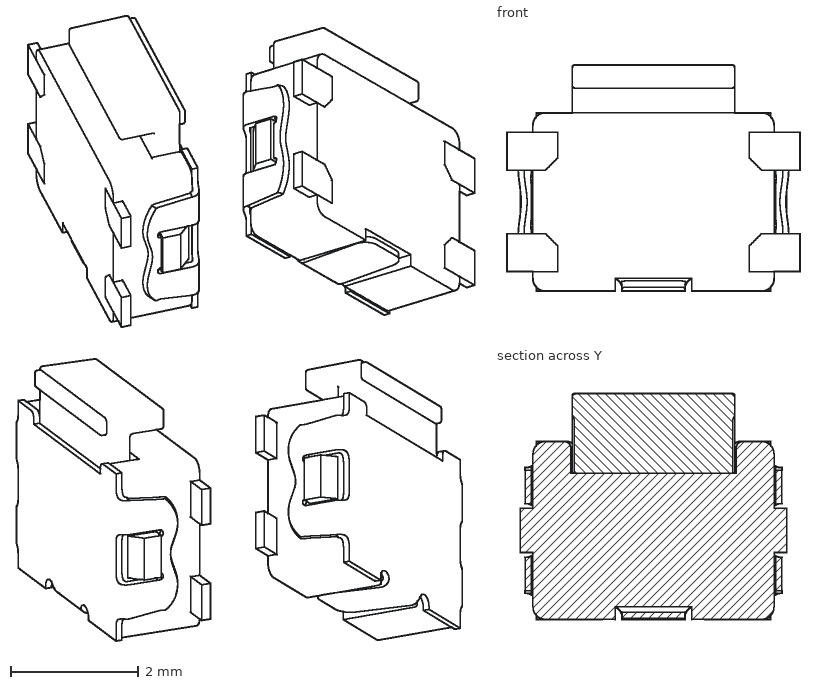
import cadquery as cq
import math


TOTAL_LENGTH = 4.6
TOTAL_DEPTH = 1.42
TOTAL_HEIGHT = 3.55
SHEET = 0.1
EDGE_ROUND = 0.05

HOUSING_HALF_WIDTH = 1.895
HOUSING_HEIGHT = 2.795
HOUSING_DEPTH = TOTAL_DEPTH - SHEET
HOUSING_CORNER_RADIUS = 0.2
MID_HEIGHT = HOUSING_HEIGHT / 2
NOTCH_HALF_WIDTH = 0.6
NOTCH_HEIGHT = 0.2

SLOT_HALF_WIDTH = 1.295
SLOT_FRONT = 0.815
SLOT_FLOOR = 2.3
SLOT_MOUTH_RADIUS = 0.1

LATCH_HALF_HEIGHT = 0.35
LATCH_TIP = 2.095
LATCH_BOTTOM = 0.755
LATCH_FLAT_TOP = 1.05
LATCH_SLOPE_TOP = LATCH_FLAT_TOP + (LATCH_TIP - HOUSING_HALF_WIDTH)

BUTTON_HALF_WIDTH = 1.28
STEM_FRONT = 0.905
CAP_FRONT = 0.32
CAP_UNDERSIDE = 3.185
CAP_TOP_DROP = 0.02
RIB_HALF_WIDTH = 1.25
RIB_BOTTOM = 3.22
RIB_TOP = 3.505

PLATE_HALF_WIDTH = 1.84
TOP_CUT_DEPTH = 0.2
BEND_OUTER = 0.15
BEND_INNER = BEND_OUTER - SHEET
ROOT_RADIUS = 0.15
ARM_OUTER = 2.02
ARM_ROOT_HALF_HEIGHT = 0.99
ARM_END_HALF_HEIGHT = 0.93
WINDOW_HALF_HEIGHT = 0.42
RELIEF_RADIUS = 0.06
BEND_CENTER_Y = TOTAL_DEPTH - BEND_OUTER

FLARE_ANGLE = math.radians(25)
FLARE_RADIUS = 0.2
LIP_LENGTH = 0.202
LOBE_OFFSET = 0.51
LOBE_RADIUS = 0.55
VALLEY_RADIUS = 0.475
FLANK_ANGLE = math.radians(18)

TAB_HALF_WIDTH = 0.495
TAB_CORNER_RADIUS = 0.24
TAB_FRONT = 0.04
TAB_ANGLE = math.radians(2.9)

TERMINAL_INNER_END = 1.5
TERMINAL_THICKNESS = 0.155
TERMINAL_WIDTH = 0.6
TERMINAL_OFFSET = 0.795
TERMINAL_CHAMFER = 0.2


def block(x0, x1, y0, y1, z0, z1):
    """Box between the given limits."""
    return cq.Workplane("XY").box(x1 - x0, y1 - y0, z1 - z0, centered=False).translate((x0, y0, z0))


def symmetric_block(half_width, y0, y1, z0, z1):
    """Box centred on x = 0."""
    return block(-half_width, half_width, y0, y1, z0, z1)


def make_terminal(side, level):
    """Flat terminal; side is -1 or 1 in X, level is -1 or 1 below or above mid height."""
    outer_end = TOTAL_LENGTH / 2
    near_edge = TERMINAL_OFFSET - TERMINAL_WIDTH / 2
    far_edge = TERMINAL_OFFSET + TERMINAL_WIDTH / 2
    outline = [
        (outer_end, near_edge),
        (outer_end, far_edge),
        (TERMINAL_INNER_END, far_edge),
        (TERMINAL_INNER_END, near_edge + TERMINAL_CHAMFER),
        (TERMINAL_INNER_END + TERMINAL_CHAMFER, near_edge),
    ]
    points = [(side * x, MID_HEIGHT + level * z) for x, z in outline]
    return cq.Workplane("XZ").polyline(points).close().extrude(-TERMINAL_THICKNESS)


def make_button_slot():
    """Cutter for the button slot, with its mouth flaring out through convex side edges."""
    mouth_half_width = SLOT_HALF_WIDTH + SLOT_MOUTH_RADIUS
    curve_start = HOUSING_HEIGHT - SLOT_MOUTH_RADIUS
    curve_mid_x = mouth_half_width - SLOT_MOUTH_RADIUS * math.sqrt(0.5)
    curve_mid_z = curve_start + SLOT_MOUTH_RADIUS * math.sqrt(0.5)
    return (
        cq.Workplane("XZ", origin=(0, SLOT_FRONT, 0))
        .moveTo(-SLOT_HALF_WIDTH, SLOT_FLOOR)
        .lineTo(SLOT_HALF_WIDTH, SLOT_FLOOR)
        .lineTo(SLOT_HALF_WIDTH, curve_start)
        .threePointArc((curve_mid_x, curve_mid_z), (mouth_half_width, HOUSING_HEIGHT))
        .lineTo(-mouth_half_width, HOUSING_HEIGHT)
        .threePointArc((-curve_mid_x, curve_mid_z), (-SLOT_HALF_WIDTH, curve_start))
        .close()
        .extrude(SLOT_FRONT - HOUSING_DEPTH)
    )


def make_latches():
    """Sloped latches on both housing sides, made as one bar that runs through the housing."""
    outline = [
        (-HOUSING_HALF_WIDTH, LATCH_BOTTOM),
        (-LATCH_TIP, LATCH_BOTTOM),
        (-LATCH_TIP, LATCH_FLAT_TOP),
        (-HOUSING_HALF_WIDTH, LATCH_SLOPE_TOP),
    ]
    mirrored = [(-x, y) for x, y in reversed(outline)]
    return (
        cq.Workplane("XY", origin=(0, 0, MID_HEIGHT))
        .polyline(outline + mirrored)
        .close()
        .extrude(LATCH_HALF_HEIGHT, both=True)
    )


def make_housing(terminals):
    body = (
        symmetric_block(HOUSING_HALF_WIDTH, 0, HOUSING_DEPTH, 0, HOUSING_HEIGHT)
        .edges("|Y")
        .fillet(HOUSING_CORNER_RADIUS)
    )
    body = body.cut(make_button_slot())
    body = body.faces(">Y").edges().fillet(EDGE_ROUND)
    body = body.cut(symmetric_block(NOTCH_HALF_WIDTH, 0, HOUSING_DEPTH, 0, NOTCH_HEIGHT))
    body = body.union(make_latches())
    for terminal in terminals:
        body = body.cut(terminal)
    return body


def make_button():
    outline = [
        (STEM_FRONT, SLOT_FLOOR),
        (HOUSING_DEPTH, SLOT_FLOOR),
        (HOUSING_DEPTH, TOTAL_HEIGHT),
        (CAP_FRONT, TOTAL_HEIGHT - CAP_TOP_DROP),
        (CAP_FRONT, CAP_UNDERSIDE),
        (STEM_FRONT, CAP_UNDERSIDE),
    ]
    body = cq.Workplane("YZ").polyline(outline).close().extrude(BUTTON_HALF_WIDTH, both=True)
    body = body.edges("not <Z").fillet(EDGE_ROUND)
    rib = (
        symmetric_block(RIB_HALF_WIDTH, HOUSING_DEPTH - SHEET, TOTAL_DEPTH, RIB_BOTTOM, RIB_TOP)
        .edges("|Y or >Y")
        .fillet(EDGE_ROUND)
    )
    return body.union(rib)


def root_fillet_edge(z_plate, z_arm):
    """Mid point and end point of the concave rounding from the plate edge to an arm edge."""
    direction = math.copysign(1, z_plate - z_arm)
    inset = ROOT_RADIUS * (1 - math.sqrt(0.5))
    middle = (PLATE_HALF_WIDTH + inset, z_arm + direction * inset)
    end = (PLATE_HALF_WIDTH + ROOT_RADIUS, z_arm)
    return middle, end


def make_bent_strip():
    """Sheet strip that leaves the plate, bends 90 degrees forward and starts to flare outward."""
    bend_x = ARM_OUTER - BEND_OUTER
    half_turn = math.sqrt(0.5)
    flare_x = ARM_OUTER + FLARE_RADIUS
    inner_flare = FLARE_RADIUS + SHEET

    def on_bend(radius):
        return (bend_x + radius * half_turn, BEND_CENTER_Y + radius * half_turn)

    def on_flare(radius, angle):
        return (flare_x - radius * math.cos(angle), LATCH_BOTTOM - radius * math.sin(angle))

    return (
        cq.Workplane("XY", origin=(0, 0, MID_HEIGHT))
        .moveTo(bend_x - SHEET, TOTAL_DEPTH)
        .lineTo(bend_x, TOTAL_DEPTH)
        .threePointArc(on_bend(BEND_OUTER), (ARM_OUTER, BEND_CENTER_Y))
        .lineTo(ARM_OUTER, LATCH_BOTTOM)
        .threePointArc(on_flare(FLARE_RADIUS, FLARE_ANGLE / 2), on_flare(FLARE_RADIUS, FLARE_ANGLE))
        .lineTo(*on_flare(inner_flare, FLARE_ANGLE))
        .threePointArc(on_flare(inner_flare, FLARE_ANGLE / 2), (ARM_OUTER - SHEET, LATCH_BOTTOM))
        .lineTo(ARM_OUTER - SHEET, BEND_CENTER_Y)
        .threePointArc(on_bend(BEND_INNER), (bend_x, HOUSING_DEPTH))
        .lineTo(bend_x - SHEET, HOUSING_DEPTH)
        .close()
        .extrude(ARM_ROOT_HALF_HEIGHT + ROOT_RADIUS, both=True)
    )


def make_arm_outline():
    """Arm outline across Y: full height, with concave roundings where it leaves the plate."""
    root = ARM_ROOT_HALF_HEIGHT + ROOT_RADIUS
    upper_mid, upper_end = root_fillet_edge(root, ARM_ROOT_HALF_HEIGHT)
    lower_mid, lower_end = root_fillet_edge(-root, -ARM_ROOT_HALF_HEIGHT)
    inside = PLATE_HALF_WIDTH - SHEET
    outside = TOTAL_LENGTH / 2
    return (
        cq.Workplane("XZ", origin=(0, 0, MID_HEIGHT))
        .moveTo(inside, root)
        .lineTo(PLATE_HALF_WIDTH, root)
        .threePointArc(upper_mid, upper_end)
        .lineTo(outside, ARM_ROOT_HALF_HEIGHT)
        .lineTo(outside, -ARM_ROOT_HALF_HEIGHT)
        .lineTo(*lower_end)
        .threePointArc(lower_mid, (PLATE_HALF_WIDTH, -root))
        .lineTo(inside, -root)
        .close()
        .extrude(-TOTAL_DEPTH)
    )


def make_arm_taper():
    """Arm outline across X: parallel at the bend, then narrowing toward the lip."""
    root = ARM_ROOT_HALF_HEIGHT + ROOT_RADIUS
    upper = [
        (0, ARM_END_HALF_HEIGHT),
        (LATCH_BOTTOM, ARM_END_HALF_HEIGHT),
        (BEND_CENTER_Y, ARM_ROOT_HALF_HEIGHT),
        (BEND_CENTER_Y, root),
        (TOTAL_DEPTH, root),
    ]
    lower = [(y, -z) for y, z in reversed(upper)]
    return (
        cq.Workplane("YZ", origin=(0, 0, MID_HEIGHT))
        .polyline(upper + lower)
        .close()
        .extrude(TOTAL_LENGTH / 2)
    )


def make_window():
    """Cutter for the latch window, rounded at the plate and relieved in its lower corners."""
    root = WINDOW_HALF_HEIGHT - ROOT_RADIUS
    upper_mid, upper_end = root_fillet_edge(root, WINDOW_HALF_HEIGHT)
    lower_mid, lower_end = root_fillet_edge(-root, -WINDOW_HALF_HEIGHT)
    outside = TOTAL_LENGTH / 2
    opening = (
        cq.Workplane("XZ", origin=(0, LATCH_BOTTOM, MID_HEIGHT))
        .moveTo(PLATE_HALF_WIDTH, root)
        .threePointArc(upper_mid, upper_end)
        .lineTo(outside, WINDOW_HALF_HEIGHT)
        .lineTo(outside, -WINDOW_HALF_HEIGHT)
        .lineTo(*lower_end)
        .threePointArc(lower_mid, (PLATE_HALF_WIDTH, -root))
        .close()
        .extrude(LATCH_BOTTOM - TOTAL_DEPTH)
    )
    relief_offset = WINDOW_HALF_HEIGHT - RELIEF_RADIUS
    reliefs = (
        cq.Workplane("YZ", origin=(PLATE_HALF_WIDTH, LATCH_BOTTOM, MID_HEIGHT))
        .pushPoints([(0, -relief_offset), (0, relief_offset)])
        .circle(RELIEF_RADIUS)
        .extrude(TOTAL_LENGTH / 2 - PLATE_HALF_WIDTH)
    )
    return opening.union(reliefs)


def make_lip():
    """Flared lip with two round lobes and a valley between them along its free edge."""
    lip_x = ARM_OUTER + FLARE_RADIUS * (1 - math.cos(FLARE_ANGLE))
    lip_y = LATCH_BOTTOM - FLARE_RADIUS * math.sin(FLARE_ANGLE)
    lip_plane = cq.Plane(
        origin=(lip_x, lip_y, MID_HEIGHT),
        xDir=(0, 0, 1),
        normal=(math.cos(FLARE_ANGLE), math.sin(FLARE_ANGLE), 0),
    )
    lobe_center = LIP_LENGTH - LOBE_RADIUS
    lobe_reach = ARM_END_HALF_HEIGHT - LOBE_OFFSET
    lobe_end = lobe_center + math.sqrt(LOBE_RADIUS**2 - lobe_reach**2)
    flank_top_x = LOBE_OFFSET - LOBE_RADIUS * math.sin(FLANK_ANGLE)
    flank_top_y = lobe_center + LOBE_RADIUS * math.cos(FLANK_ANGLE)
    flank_low_x = VALLEY_RADIUS * math.sin(FLANK_ANGLE)
    flank_low_y = flank_top_y - (flank_top_x - flank_low_x) * math.tan(FLANK_ANGLE)
    valley_y = flank_low_y - VALLEY_RADIUS * (1 - math.cos(FLANK_ANGLE))
    return (
        cq.Workplane(lip_plane)
        .moveTo(-ARM_END_HALF_HEIGHT, 0)
        .lineTo(ARM_END_HALF_HEIGHT, 0)
        .lineTo(ARM_END_HALF_HEIGHT, lobe_end)
        .threePointArc((LOBE_OFFSET, LIP_LENGTH), (flank_top_x, flank_top_y))
        .lineTo(flank_low_x, flank_low_y)
        .threePointArc((0, valley_y), (-flank_low_x, flank_low_y))
        .lineTo(-flank_top_x, flank_top_y)
        .threePointArc((-LOBE_OFFSET, LIP_LENGTH), (-ARM_END_HALF_HEIGHT, lobe_end))
        .close()
        .extrude(-SHEET)
    )


def make_arm():
    """Complete arm on the +X side."""
    arm = make_bent_strip().intersect(make_arm_outline()).intersect(make_arm_taper())
    return arm.cut(make_window()).union(make_lip())


def make_tab_strip(half_width):
    """Strip that bends forward from the plate's lower edge and rises slightly into the notch."""
    bend_angle = math.pi / 2 + TAB_ANGLE
    bend_end_y = BEND_CENTER_Y - BEND_OUTER * math.sin(TAB_ANGLE)
    tip_reach = (bend_end_y - TAB_FRONT) / math.cos(TAB_ANGLE)
    root_z = BEND_OUTER + ROOT_RADIUS

    def on_bend(radius, angle):
        return (BEND_CENTER_Y + radius * math.cos(angle), BEND_OUTER - radius * math.sin(angle))

    def at_tip(radius):
        y, z = on_bend(radius, bend_angle)
        return (y - tip_reach * math.cos(TAB_ANGLE), z + tip_reach * math.sin(TAB_ANGLE))

    return (
        cq.Workplane("YZ")
        .moveTo(TOTAL_DEPTH, root_z)
        .lineTo(TOTAL_DEPTH, BEND_OUTER)
        .threePointArc(on_bend(BEND_OUTER, bend_angle / 2), on_bend(BEND_OUTER, bend_angle))
        .lineTo(*at_tip(BEND_OUTER))
        .lineTo(*at_tip(BEND_INNER))
        .lineTo(*on_bend(BEND_INNER, bend_angle))
        .threePointArc(on_bend(BEND_INNER, bend_angle / 2), (HOUSING_DEPTH, BEND_OUTER))
        .lineTo(HOUSING_DEPTH, root_z)
        .close()
        .extrude(half_width, both=True)
    )


def make_lower_tab():
    """Lower tab with rounded tip corners."""
    tab = make_tab_strip(TAB_HALF_WIDTH)
    tip_corners = tab.faces("<Y").edges("not |X")
    return tab.newObject(tip_corners.vals()).fillet(TAB_CORNER_RADIUS)


def make_tab_reliefs():
    """Cutter for the round-ended reliefs on both sides of the lower tab, open at the bottom."""
    center_x = TAB_HALF_WIDTH + ROOT_RADIUS
    center_z = NOTCH_HEIGHT - ROOT_RADIUS
    reliefs = (
        cq.Workplane("XZ", origin=(0, 0, center_z))
        .pushPoints([(-center_x, 0), (center_x, 0)])
        .circle(ROOT_RADIUS)
        .extrude(-TOTAL_DEPTH)
    )
    for left in (-center_x - ROOT_RADIUS, TAB_HALF_WIDTH):
        reliefs = reliefs.union(block(left, left + 2 * ROOT_RADIUS, 0, TOTAL_DEPTH, 0, center_z))
    return reliefs


def make_tab_root():
    """Bend of the lower tab, widened by the concave roundings at the plate."""
    bend_zone = symmetric_block(HOUSING_HALF_WIDTH, BEND_CENTER_Y, TOTAL_DEPTH, 0, HOUSING_HEIGHT)
    return make_tab_strip(TAB_HALF_WIDTH + ROOT_RADIUS).intersect(bend_zone).cut(make_tab_reliefs())


def make_plate():
    """Flat back plate with a cut for the button rib and reliefs beside the lower tab."""
    plate = symmetric_block(PLATE_HALF_WIDTH, HOUSING_DEPTH, TOTAL_DEPTH, 0, HOUSING_HEIGHT)
    top_cut_floor = HOUSING_HEIGHT - TOP_CUT_DEPTH
    plate = plate.cut(
        symmetric_block(RIB_HALF_WIDTH, HOUSING_DEPTH, TOTAL_DEPTH, top_cut_floor, HOUSING_HEIGHT)
    )
    mouth_zone = cq.selectors.BoxSelector(
        (-BUTTON_HALF_WIDTH, 0, top_cut_floor + SHEET),
        (BUTTON_HALF_WIDTH, TOTAL_DEPTH, TOTAL_HEIGHT),
    )
    plate = plate.edges("|Y").edges(mouth_zone).fillet(SLOT_MOUTH_RADIUS)
    opening_half_width = TAB_HALF_WIDTH + ROOT_RADIUS
    tab_opening = symmetric_block(opening_half_width, HOUSING_DEPTH, TOTAL_DEPTH, 0, NOTCH_HEIGHT)
    return plate.cut(tab_opening).cut(make_tab_reliefs())


def make_cover():
    arm = make_arm()
    cover = make_plate().union(arm).union(arm.mirror("YZ"))
    return cover.union(make_tab_root()).union(make_lower_tab())


terminals = [make_terminal(side, level) for side in (-1, 1) for level in (-1, 1)]
housing = make_housing(terminals)
button = make_button()
cover = make_cover()

result = cq.Compound.makeCompound(
    [housing.val(), button.val(), cover.val(), *[terminal.val() for terminal in terminals]]
)